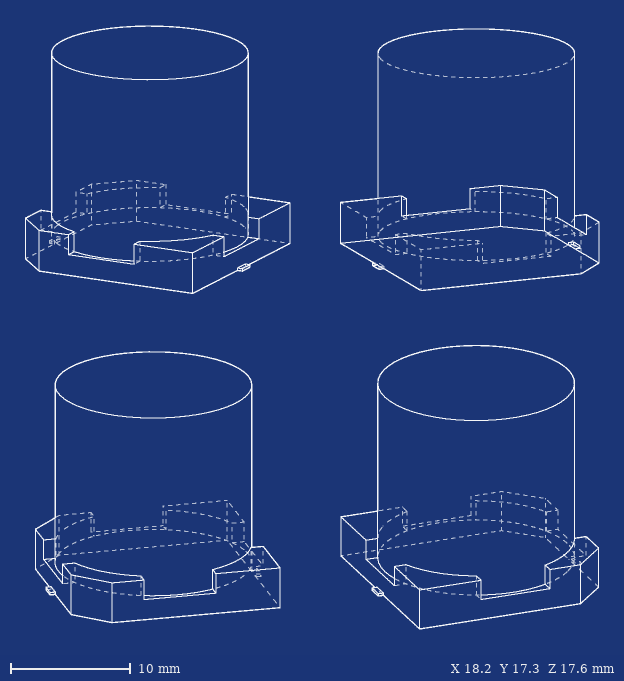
import cadquery as cq

base_side = 17.3
base_height = 3.53
corner_cut = 2.8
notch_width = 6.2
notch_floor = 1.8

can_diameter = 16.43
can_top = 17.55

terminal_span = 18.21
terminal_width = 1.4
terminal_thickness = 0.22
terminal_length = (terminal_span - base_side) / 2


def make_can():
    """Cylindrical can standing on the notch floor."""
    return (
        cq.Workplane("XY", origin=(0, 0, notch_floor))
        .circle(can_diameter / 2)
        .extrude(can_top - notch_floor)
    )


def make_base():
    """Square base with two cut corners on -X, a round seat for the can and a notch in each side."""
    base = (
        cq.Workplane("XY")
        .rect(base_side, base_side)
        .extrude(base_height)
        .edges("|Z and <X")
        .chamfer(corner_cut)
    )
    wall_height = base_height - notch_floor
    seat_plane = cq.Workplane("XY", origin=(0, 0, notch_floor))
    seat = seat_plane.circle(can_diameter / 2).extrude(wall_height)
    notch_along_x = seat_plane.rect(base_side, notch_width).extrude(wall_height)
    notch_along_y = seat_plane.rect(notch_width, base_side).extrude(wall_height)
    return base.cut(seat).cut(notch_along_x).cut(notch_along_y)


def make_terminal(side):
    """Flat terminal tab against the base, at -X for side -1 and +X for side 1."""
    center_x = side * (base_side + terminal_length) / 2
    return (
        cq.Workplane("XY", origin=(center_x, 0, 0))
        .rect(terminal_length, terminal_width)
        .extrude(terminal_thickness)
    )


base = make_base()
can = make_can()
terminals = [make_terminal(side) for side in (-1, 1)]

result = cq.Compound.makeCompound(
    [base.val(), can.val(), *[terminal.val() for terminal in terminals]]
)